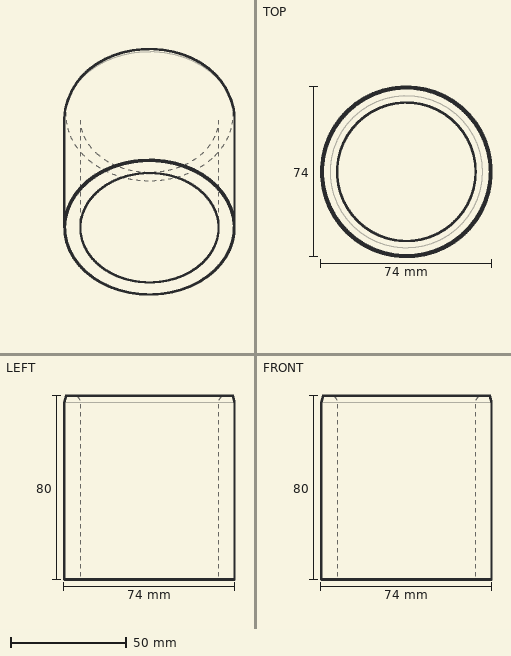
import cadquery as cq
import math

length = 80.0
outer_radius = 74.0 / 2
bore_radius = 60.0 / 2

mouth_radius = 66.0 / 2
mouth_fillet = mouth_radius - bore_radius

lead_in_height = mouth_fillet
lead_in_angle = 15.0
lead_in_depth = lead_in_height * math.tan(math.radians(lead_in_angle))

bottom_chamfer = 0.4

arc_offset = mouth_fillet * math.cos(math.radians(45))
arc_middle = (mouth_radius - arc_offset, length - mouth_fillet + arc_offset)

wall_section = (
    cq.Workplane("XZ")
    .moveTo(bore_radius, 0)
    .lineTo(outer_radius - bottom_chamfer, 0)
    .lineTo(outer_radius, bottom_chamfer)
    .lineTo(outer_radius, length - lead_in_height)
    .lineTo(outer_radius - lead_in_depth, length)
    .lineTo(mouth_radius, length)
    .threePointArc(arc_middle, (bore_radius, length - mouth_fillet))
    .close()
)

result = wall_section.revolve(360, (0, 0, 0), (0, 1, 0))